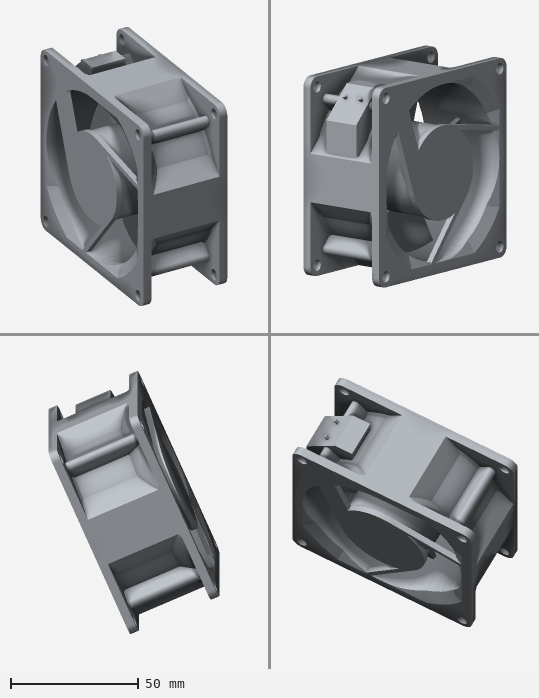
import cadquery as cq
import math


SIDE = 80.0
DEPTH = 38.0
HALF_SIDE = SIDE / 2
FLANGE_THICKNESS = 3.5
CORNER_RADIUS = 4.0
HOLE_DIAMETER = 4.5
HOLE_OFFSET = 35.8

BORE_RADIUS = 35.5
WALL_RADIUS = 37.0
PAD_WIDTH = 19.5
FRONT_CONE_LENGTH = 6.7
FRONT_CONE_GROWTH = 4.7
REAR_CONE_LENGTH = 1.0
REAR_CONE_GROWTH = 0.8
POST_RADIUS = 2.1
POST_OFFSET = 30.1

FLARE_RADIUS = 40.6
FLARE_DEPTH = 2.4

OUTLET_RADIUS = 36.8
OUTLET_DEPTH = 1.6

HUB_RADIUS = 19.0
ROTOR_RADIUS = 18.2
SPIDER_THICKNESS = 2.4
SPOKE_LENGTH = 35.2
WIDE_SPOKE_WIDTH = 8.8
THIN_SPOKE_WIDTH = 2.0
WIDE_SPOKE_ANGLE = 200.0
BLADE_COUNT = 4
BLADE_RADIUS = 34.8
BLADE_ROOT_RADIUS = ROTOR_RADIUS - 2.4
BLADE_SPAN_ANGLE = 50.0
BLADE_THICKNESS = 2.0
BLADE_PITCH = 12.0
BLADE_CENTER_Y = 20.2

TERMINAL_WIDTH = 15.0
TERMINAL_TOP = 37.0
TERMINAL_BOTTOM = 11.4
TERMINAL_INNER_X = -19.6
TERMINAL_BEVEL = 12.8
PIN_WIDTH = 1.3
PIN_THICKNESS = 1.0
PIN_LENGTH = 1.8
PIN_SPACING = 7.8
PIN_CENTER_X = -32.1


def plane_at(y):
    """Work plane across the fan axis: local x is X, local y is Z."""
    return cq.Workplane("XZ", origin=(0, y, 0))


def cylinder(radius, y_start, y_end):
    return plane_at(y_start).circle(radius).extrude(y_start - y_end)


def cone(start_radius, end_radius, y_start, y_end):
    profile = [(0, y_start), (start_radius, y_start), (end_radius, y_end), (0, y_end)]
    return cq.Workplane("XY").polyline(profile).close().revolve(360, (0, 0, 0), (0, 1, 0))


def flange(y_start):
    plate = plane_at(y_start).rect(SIDE, SIDE).extrude(-FLANGE_THICKNESS).edges("|Y").fillet(CORNER_RADIUS)
    holes = plane_at(y_start).rect(2 * HOLE_OFFSET, 2 * HOLE_OFFSET, forConstruction=True).vertices()
    return plate.cut(holes.circle(HOLE_DIAMETER / 2).extrude(-FLANGE_THICKNESS))


def housing():
    """Round wall with four flat pads, conical ends and a ribbed post in each corner."""
    y_start = FLANGE_THICKNESS
    y_end = DEPTH - FLANGE_THICKNESS
    length = y_end - y_start
    pads = plane_at(y_start).rect(SIDE, SIDE).extrude(-length)
    pads = pads.edges("|Y").chamfer((SIDE - PAD_WIDTH) / 2)
    wall = cylinder(WALL_RADIUS, y_start, y_end)
    front_cone = cone(WALL_RADIUS + FRONT_CONE_GROWTH, WALL_RADIUS, y_start, y_start + FRONT_CONE_LENGTH)
    rear_cone = cone(WALL_RADIUS, WALL_RADIUS + REAR_CONE_GROWTH, y_end - REAR_CONE_LENGTH, y_end)
    envelope = plane_at(y_start).rect(SIDE, SIDE).extrude(-length)
    body = pads.union(wall).union(front_cone.intersect(envelope)).union(rear_cone)

    post_reach = POST_OFFSET * math.sqrt(2)
    for angle in (45, 135):
        ribs = plane_at(y_start).slot2D(2 * (post_reach + POST_RADIUS), 2 * POST_RADIUS, angle)
        body = body.union(ribs.extrude(-length))
    return body


def terminal_block():
    """Block with a bevelled outer corner, carrying two flat pins square to the bevel."""
    bevel_bottom = TERMINAL_TOP - TERMINAL_BEVEL
    outline = [
        (-HALF_SIDE, TERMINAL_BOTTOM),
        (-HALF_SIDE, bevel_bottom),
        (-HALF_SIDE + TERMINAL_BEVEL, TERMINAL_TOP),
        (TERMINAL_INNER_X, TERMINAL_TOP),
        (TERMINAL_INNER_X, TERMINAL_BOTTOM),
    ]
    block = plane_at((DEPTH - TERMINAL_WIDTH) / 2).polyline(outline).close().extrude(-TERMINAL_WIDTH)
    pin_center_z = bevel_bottom + PIN_CENTER_X + HALF_SIDE
    bevel_plane = cq.Plane((PIN_CENTER_X, DEPTH / 2, pin_center_z), xDir=(0, 1, 0), normal=(-1, 0, 1))
    pins = cq.Workplane(bevel_plane).rarray(PIN_SPACING, 0.8, 2, 1).rect(PIN_WIDTH, PIN_THICKNESS)
    return block.union(pins.extrude(PIN_LENGTH))


def inlet_flare():
    """Conical flare trimmed by four sloping flats, left out of the (-X, +Z) quadrant."""
    inset = FLARE_RADIUS - BORE_RADIUS
    taper = math.degrees(math.atan(inset / FLARE_DEPTH))
    flats = plane_at(0).rect(2 * BORE_RADIUS, 2 * BORE_RADIUS).extrude(-FLARE_DEPTH, taper=taper)
    plain_quadrant = plane_at(0).rect(-SIDE, SIDE, centered=False).extrude(-FLARE_DEPTH)
    return cone(FLARE_RADIUS, BORE_RADIUS, 0, FLARE_DEPTH).intersect(flats).cut(plain_quadrant)


def spoke(tangent_angle, width):
    """Bar whose outer edge leaves the hub rim along the tangent at the given angle."""
    bar = plane_at(0).moveTo(HUB_RADIUS, 0).rect(-width, -SPOKE_LENGTH, centered=False)
    return bar.extrude(-SPIDER_THICKNESS).rotate((0, 0, 0), (0, 1, 0), -tangent_angle)


def motor():
    body = cylinder(HUB_RADIUS, 0, SPIDER_THICKNESS).union(cylinder(ROTOR_RADIUS, 0, DEPTH))
    widths = (WIDE_SPOKE_WIDTH, THIN_SPOKE_WIDTH, THIN_SPOKE_WIDTH)
    for index, width in enumerate(widths):
        body = body.union(spoke(WIDE_SPOKE_ANGLE + index * 360 / len(widths), width))
    return body


def polar(radius, angle):
    return radius * math.cos(math.radians(angle)), radius * math.sin(math.radians(angle))


def blade():
    """Flat ring sector pitched about its radial centre line."""
    half_span = BLADE_SPAN_ANGLE / 2
    sector = (
        plane_at(-BLADE_THICKNESS / 2)
        .moveTo(*polar(BLADE_ROOT_RADIUS, -half_span))
        .lineTo(*polar(BLADE_RADIUS, -half_span))
        .threePointArc((BLADE_RADIUS, 0), polar(BLADE_RADIUS, half_span))
        .lineTo(*polar(BLADE_ROOT_RADIUS, half_span))
        .close()
        .extrude(-BLADE_THICKNESS)
    )
    return sector.rotate((0, 0, 0), (1, 0, 0), BLADE_PITCH).translate((0, BLADE_CENTER_Y, 0))


frame = housing().union(flange(0)).union(flange(DEPTH - FLANGE_THICKNESS)).union(terminal_block())
frame = frame.cut(cylinder(BORE_RADIUS, 0, DEPTH)).cut(inlet_flare())
frame = frame.cut(cone(BORE_RADIUS, OUTLET_RADIUS, DEPTH - OUTLET_DEPTH, DEPTH))

result = frame.union(motor())
for blade_index in range(BLADE_COUNT):
    result = result.union(blade().rotate((0, 0, 0), (0, 1, 0), blade_index * 360 / BLADE_COUNT))